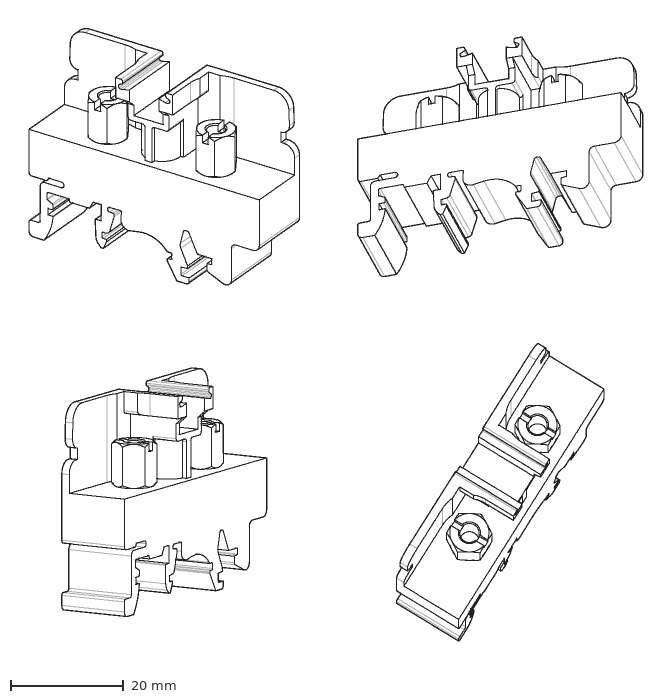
import cadquery as cq
import math

LENGTH = 49.0
DEPTH = 13.0
HEIGHT = 37.0
HALF_LENGTH = LENGTH / 2
BLOCK_TOP = 21.3
UNDERSIDE = 10.65

PLATE_THICKNESS = 1.55
PLATE_FRONT = DEPTH - PLATE_THICKNESS
PLATE_STEP = 0.55
THICK_PLATE_FRONT = PLATE_FRONT - PLATE_STEP
THICK_HALF_WIDTH = 8.95
BLEND_HALF_WIDTH = 11.55
BLEND_RADIUS = 6.5

CHANNEL_HALF_WIDTH = 4.3
SLOT_HALF_WIDTH = 3.15
SLOT_FLOOR = 29.6
FLOOR_UNDERSIDE = 28.45
CHANNEL_FRONT = 1.4
BEVEL_BOTTOM = 31.7
CHANNEL_ROUND = 0.55
CHANNEL_BASE_FRONT = 6.2

RAIL_BOTTOM = 33.0
RAIL_HALF_WIDTH = 6.1
RAIL_WIDE_HALF_WIDTH = 6.55
RAIL_ROUND = 0.55
LIP_HALF_GAP = 4.55
LIP_ROUND = 0.4
CUT_MARGIN = 0.5
RAIL_BLEND_START = 5.8
RAIL_BLEND_END = 8.05
RAIL_BLEND_RADIUS = 5.4

COLUMN_Y = 5.85
COLUMN_RADIUS = 3.68
RIB_HALF_WIDTH = 0.75
RIB_ROOT_HALF_WIDTH = 1.95

NUT_X = 11.45
NUT_Y = COLUMN_Y
NUT_ACROSS_FLATS = 6.95
NUT_HEIGHT = 8.0
NUT_BORE = 3.45
NUT_COUNTERSINK = 0.25
NUT_SLOT_WIDTH = 1.22
NUT_SLOT_DEPTH = 1.5
NUT_CHAMFER_ANGLE = 45.0

LEFT_CLIP = [
    (-HALF_LENGTH, 12.1, 0.65), (-20.8, 12.1, 0), (-20.3, 12.75, 0), (-17.05, 12.75, 0.55),
    (-17.05, 11.6, 0.55), (-22.1, 11.6, 0.95), (-22.1, 3.25, 0.5), (-HALF_LENGTH, 3.25, 0.45),
    (-HALF_LENGTH, 0, 1.0), (-21.3, 0, 0), (-19.6, 2.35, 10.05), (-19.35, 5.35, 0),
    (-20.5, 5.35, 0), (-20.5, 6.6, 0), (-19.35, 6.6, 0.3), (-19.35, 7.75, 0.3),
    (-20.65, 8.4, 0.15), (-20.65, 9.85, 0.35), (-16.05, 9.85, 0), (-15.8, 9.2, 0),
    (-11.6, 9.2, 0), (-10.85, UNDERSIDE, 0),
]
LEFT_HOOK = [
    (-9.1, UNDERSIDE, 0), (-9.1, 7.4, 0), (-10.45, 7.4, 0.15), (-10.25, 3.2, 1.95),
    (-9.15, 2.0, 0), (-8.65, 2.0, 0), (-8.0, 3.55, 0), (-8.0, 4.0, 0),
    (-8.95, 4.0, 0.3), (-8.95, 5.15, 0.1), (-7.45, 5.4, 0.75), (-6.35, 9.0, 0),
    (-6.35, 9.65, 0.25), (-7.75, 9.7, 0.45), (-7.75, UNDERSIDE, 0.45),
]
MIDDLE_ARCH = [
    (-4.8, UNDERSIDE, 0.25), (-5.1, 6.8, 1.65), (2.4, 8.1, 6.15), (4.9, 5.25, 0),
]
RIGHT_HOOK = [
    (5.9, 5.25, 0.1), (5.9, 3.95, 0.25), (4.9, 3.95, 0.25), (4.9, 3.5, 0.2),
    (6.95, 0, 0.15), (9.6, 0, 0.7), (9.6, 1.35, 0), (7.85, 1.35, 0.25),
    (7.85, 3.05, 0.1), (9.25, 3.2, 0), (9.25, 3.68, 0), (7.6, 7.25, 1.45),
    (8.45, UNDERSIDE, 0.5), (9.4, UNDERSIDE, 0.35),
]
RIGHT_FOOT = [
    (11.35, 6.6, 0), (14.35, 6.6, 0), (14.35, 5.45, 0.1), (13.35, 5.3, 0),
    (13.35, 3.8, 0.45), (18.55, 1.5, 1.3), (18.55, 10.85, 1.0), (HALF_LENGTH, 10.85, 1.25),
]

PLATE_HALF = [
    (HALF_LENGTH, BLOCK_TOP, 0), (HALF_LENGTH, 27.0, 2.3), (21.6, 27.0, 0), (21.6, 29.05, 0),
    (23.4, 29.05, 1.75), (23.2, HEIGHT, 3.25),
]

SLOT_HALF = [
    (LIP_HALF_GAP + LIP_ROUND + CUT_MARGIN, HEIGHT + CUT_MARGIN, 0),
    (LIP_HALF_GAP + LIP_ROUND + CUT_MARGIN, HEIGHT, 0),
    (LIP_HALF_GAP, HEIGHT, LIP_ROUND), (LIP_HALF_GAP, 36.2, 0.2),
    (5.55, 35.6, 0.2), (5.25, 35.0, 0.3), (4.5, 35.05, 0),
    (SLOT_HALF_WIDTH, 35.4, 0), (SLOT_HALF_WIDTH, SLOT_FLOOR, 0),
]


def mirrored(half):
    """Close a right-hand half outline with its mirror image."""
    return half + [(-x, z, radius) for x, z, radius in reversed(half)]


def corner_arc(before, corner, after):
    """Return the start, middle and end of the arc that rounds a corner.

    Each neighbouring point may be an (x, z) or (x, z, radius) tuple.
    """
    x, z, radius = corner
    angle_in = math.atan2(before[1] - z, before[0] - x)
    angle_out = math.atan2(after[1] - z, after[0] - x)
    half_angle = math.acos(math.cos(angle_in - angle_out)) / 2
    setback = radius / math.tan(half_angle)
    start = (x + setback * math.cos(angle_in), z + setback * math.sin(angle_in))
    end = (x + setback * math.cos(angle_out), z + setback * math.sin(angle_out))
    bisector_x = math.cos(angle_in) + math.cos(angle_out)
    bisector_z = math.sin(angle_in) + math.sin(angle_out)
    reach = radius / math.sin(half_angle) - radius
    scale = reach / math.hypot(bisector_x, bisector_z)
    middle = (x + scale * bisector_x, z + scale * bisector_z)
    return start, middle, end


def front_section(corners, y_front, y_back):
    """Extrude a closed XZ outline of (x, z, corner radius) along Y."""
    first = corners[0]
    sketch = cq.Workplane("XZ", origin=(0, y_front, 0)).moveTo(first[0], first[1])
    for before, corner, after in zip(corners, corners[1:], corners[2:] + corners[:1]):
        if corner[2] > 0:
            start, middle, end = corner_arc(before, corner, after)
            sketch = sketch.lineTo(*start).threePointArc(middle, end)
        else:
            sketch = sketch.lineTo(corner[0], corner[1])
    return sketch.close().extrude(y_front - y_back)


def box(half_width, y_front, y_back, z_bottom, z_top):
    """Block centred on X between the given Y and Z limits."""
    depth = y_back - y_front
    base = cq.Workplane("XY", origin=(0, (y_front + y_back) / 2, z_bottom))
    return base.rect(2 * half_width, depth).extrude(z_top - z_bottom)


def base_block():
    """Full-depth block with the clips and feet below it."""
    outline = [(-HALF_LENGTH, BLOCK_TOP, 0)]
    outline += LEFT_CLIP + LEFT_HOOK + MIDDLE_ARCH + RIGHT_HOOK + RIGHT_FOOT
    outline += [(HALF_LENGTH, BLOCK_TOP, 0)]
    return front_section(outline, 0, DEPTH)


def back_plate():
    """Thin plate with a thicker middle that blends out in an arc on each side."""
    plate = front_section(mirrored(PLATE_HALF), PLATE_FRONT, DEPTH)
    thick_middle = (
        cq.Workplane("XY", origin=(0, 0, BLOCK_TOP))
        .moveTo(-BLEND_HALF_WIDTH, DEPTH)
        .lineTo(-BLEND_HALF_WIDTH, PLATE_FRONT)
        .radiusArc((-THICK_HALF_WIDTH, THICK_PLATE_FRONT), BLEND_RADIUS)
        .lineTo(THICK_HALF_WIDTH, THICK_PLATE_FRONT)
        .radiusArc((BLEND_HALF_WIDTH, PLATE_FRONT), BLEND_RADIUS)
        .lineTo(BLEND_HALF_WIDTH, DEPTH)
        .close()
        .extrude(HEIGHT - BLOCK_TOP)
    )
    return plate.union(thick_middle)


def rails():
    """Top rails, wider at the back, with rounded lower edges on the wide part."""
    plan = (
        cq.Workplane("XY", origin=(0, 0, RAIL_BOTTOM))
        .moveTo(-RAIL_HALF_WIDTH, 0)
        .lineTo(-RAIL_HALF_WIDTH, RAIL_BLEND_START)
        .radiusArc((-RAIL_WIDE_HALF_WIDTH, RAIL_BLEND_END), -RAIL_BLEND_RADIUS)
        .lineTo(-RAIL_WIDE_HALF_WIDTH, DEPTH)
        .lineTo(RAIL_WIDE_HALF_WIDTH, DEPTH)
        .lineTo(RAIL_WIDE_HALF_WIDTH, RAIL_BLEND_END)
        .radiusArc((RAIL_HALF_WIDTH, RAIL_BLEND_START), -RAIL_BLEND_RADIUS)
        .lineTo(RAIL_HALF_WIDTH, 0)
        .close()
        .extrude(HEIGHT - RAIL_BOTTOM)
    )
    half_section = [
        (RAIL_WIDE_HALF_WIDTH, HEIGHT, 0),
        (RAIL_WIDE_HALF_WIDTH, RAIL_BOTTOM, RAIL_ROUND),
    ]
    return plan.intersect(front_section(mirrored(half_section), 0, DEPTH))


def channel():
    """Channel body: overhanging front with a bevel under the rails, solid base behind."""
    half_section = [
        (CHANNEL_HALF_WIDTH, RAIL_BOTTOM, 0),
        (CHANNEL_HALF_WIDTH, FLOOR_UNDERSIDE, CHANNEL_ROUND),
    ]
    side_profile = (
        cq.Workplane("YZ", origin=(-CHANNEL_HALF_WIDTH, 0, 0))
        .moveTo(CHANNEL_FRONT, FLOOR_UNDERSIDE)
        .lineTo(CHANNEL_FRONT, BEVEL_BOTTOM)
        .lineTo(0, RAIL_BOTTOM)
        .lineTo(DEPTH, RAIL_BOTTOM)
        .lineTo(DEPTH, FLOOR_UNDERSIDE)
        .close()
        .extrude(2 * CHANNEL_HALF_WIDTH)
    )
    overhang = side_profile.intersect(front_section(mirrored(half_section), 0, DEPTH))
    base = box(CHANNEL_HALF_WIDTH, CHANNEL_BASE_FRONT, DEPTH, BLOCK_TOP, RAIL_BOTTOM)
    return overhang.union(base)


def support_column():
    """Round column under the channel floor with a flared rib on its front."""
    column = (
        cq.Workplane("XY", origin=(0, COLUMN_Y, BLOCK_TOP))
        .circle(COLUMN_RADIUS)
        .extrude(FLOOR_UNDERSIDE - BLOCK_TOP)
    )
    half_rib = [
        (RIB_HALF_WIDTH, BLOCK_TOP, 0),
        (RIB_HALF_WIDTH, FLOOR_UNDERSIDE, CHANNEL_ROUND),
        (RIB_ROOT_HALF_WIDTH, FLOOR_UNDERSIDE, 0),
        (RIB_ROOT_HALF_WIDTH, SLOT_FLOOR, 0),
    ]
    return column.union(front_section(mirrored(half_rib), CHANNEL_FRONT, COLUMN_Y))


def nut():
    """Hexagonal nut with chamfered ends, a countersunk bore and a driver slot."""
    flat_radius = NUT_ACROSS_FLATS / 2
    corner_radius = flat_radius / math.cos(math.pi / 6)
    chamfer_height = (corner_radius - flat_radius) * math.tan(math.radians(NUT_CHAMFER_ANGLE))
    hexagon = cq.Workplane("XY").polygon(6, 2 * corner_radius).extrude(NUT_HEIGHT)
    chamfered_cylinder = (
        cq.Workplane("XZ")
        .moveTo(0, 0)
        .lineTo(flat_radius, 0)
        .lineTo(corner_radius, chamfer_height)
        .lineTo(corner_radius, NUT_HEIGHT - chamfer_height)
        .lineTo(flat_radius, NUT_HEIGHT)
        .lineTo(0, NUT_HEIGHT)
        .close()
        .revolve(360, (0, 0), (0, 1))
    )
    bore = cq.Workplane("XY").circle(NUT_BORE / 2).extrude(NUT_HEIGHT)
    countersink = cq.Workplane("XY").add(
        cq.Solid.makeCone(
            NUT_BORE / 2,
            NUT_BORE / 2 + NUT_COUNTERSINK,
            NUT_COUNTERSINK,
            pnt=cq.Vector(0, 0, NUT_HEIGHT - NUT_COUNTERSINK),
        )
    )
    slot_bottom = NUT_HEIGHT - NUT_SLOT_DEPTH
    slot = box(NUT_SLOT_WIDTH / 2, -corner_radius, corner_radius, slot_bottom, NUT_HEIGHT)
    return hexagon.intersect(chamfered_cylinder).cut(bore).cut(countersink).cut(slot)


result = base_block().union(back_plate()).union(channel()).union(rails()).union(support_column())
result = result.cut(front_section(mirrored(SLOT_HALF), 0, DEPTH))
for nut_x in (-NUT_X, NUT_X):
    result = result.union(nut().translate((nut_x, NUT_Y, BLOCK_TOP)))